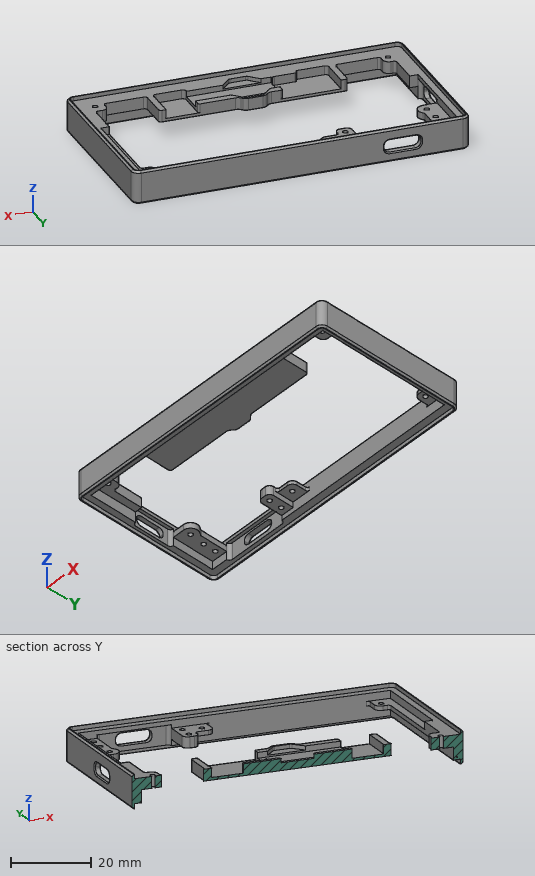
import cadquery as cq
import math

length, width, height = 90.0, 47.0, 9.0
corner_radius = 2.0
edge_chamfer = 0.5
rim = 0.7
top_face = 3.4
bottom_face = -3.2

cavity_x, cavity_y = 42.4, 20.6
deck_bottom = 0.2
seat_top = 1.35
seat_front = -5.6
window_x = 40.1
window_front = -18.45
inner_fillet = 0.7

front_tab_y = -15.0
back_tab_y = 15.75
left_tab_x = -37.3
right_tab_x = 36.6
tab_radius = 1.6

hole_diameter = 1.35
tab_holes = [(-39.15, -17.8), (39.15, -17.8), (38.6, 17.7)]
connector_rows = (18.5, 14.6)

plate_edge = -37.3
plate_bottom = -0.5
plate_hole_x = -39.15
ear_x, ear_y = -38.7, 9.7
ear_radius = 2.4
plate_front = ear_y - ear_radius

bracket_left = -17.1
leg_right = -13.0
leg_front = 12.5
leg_bottom = -1.6
leg_radius = 1.4
arm_right = -7.65
arm_front = 15.4
arm_radius = 1.7
bracket_hole_x = -15.0
arm_hole = (-10.1, 17.7)

side_port_length, side_port_height, side_port_radius = 9.0, 3.2, 1.4
side_port_y, side_port_z = 0.3, -0.5
back_port_length, back_port_height, back_port_radius = 9.9, 3.4, 1.5
back_port_x, back_port_z = -26.9, -0.2
port_chamfer = 0.315
port_reach = 4.5
relief_depth = 1.0
relief_top = 2.25

tray_x = 25.2
tray_front, tray_back = -18.8, -9.6
finger = 1.8
pocket_x = tray_x - finger
pocket_radius = 0.9
pocket_floor = 1.0
slide_left, slide_right = -7.8, 14.8
slide_front, slide_back = -17.6, -11.6
slide_floor = 1.9
step_x = -14.8
step_radius = 0.5
strip_radius = 0.45

octagon_y = -14.6
octagon_apothem = 5.8
octagon_wall = 0.6
octagon_floor = 2.3
bulge_radius = 1.8


def block(x0, x1, y0, y1, z0, z1):
    """Box between two opposite corners."""
    box = cq.Workplane("XY").box(x1 - x0, y1 - y0, z1 - z0, centered=False)
    return box.translate((x0, y0, z0))


def prism(points, z0, z1):
    """Upright prism over a closed outline."""
    return cq.Workplane("XY", origin=(0, 0, z0)).polyline(points).close().extrude(z1 - z0)


def disc(center, radius, z0, z1):
    return cq.Workplane("XY", origin=(0, 0, z0)).center(*center).circle(radius).extrude(z1 - z0)


def round_edges(body, points, radius):
    """Round the vertical edges of a body that stand at the given points."""
    reach = 0.045
    tall = 2 * height
    for x, y in points:
        low = (x - reach, y - reach, -tall)
        high = (x + reach, y + reach, tall)
        body = body.edges(cq.selectors.BoxSelector(low, high, boundingbox=True)).fillet(radius)
    return body


def octagon(apothem, z0, z1):
    """Regular octagon with its flats facing the axes."""
    diameter = 2 * apothem / math.cos(math.pi / 8)
    body = cq.Workplane("XY").polygon(8, diameter).extrude(z1 - z0)
    return body.rotate((0, 0, 0), (0, 0, 1), 180 / 8).translate((0, octagon_y, z0))


def rim_recess(z0, z1):
    plan = cq.Workplane("XY", origin=(0, 0, z0)).rect(length - 2 * rim, width - 2 * rim)
    return plan.extrude(z1 - z0).edges("|Z").fillet(corner_radius - rim)


def outer_frame():
    """Closed frame with rims, the cavity below the deck and the lowered seat above it."""
    frame = cq.Workplane("XY").box(length, width, height).edges("|Z").fillet(corner_radius)
    frame = frame.faces("<Z or >Z").chamfer(edge_chamfer)
    frame = frame.cut(rim_recess(top_face, height))
    frame = frame.cut(rim_recess(-height, bottom_face))
    frame = frame.cut(block(-cavity_x, cavity_x, -cavity_y, cavity_y, -height, deck_bottom))
    return frame.cut(block(-cavity_x, cavity_x, seat_front, cavity_y, seat_top, height))


def window():
    """Opening through the deck that leaves the tabs, the tray and its bulge standing."""
    tab_corners = [
        (right_tab_x, back_tab_y),
        (right_tab_x, front_tab_y),
        (left_tab_x, front_tab_y),
    ]
    tab_roots = [
        (right_tab_x, cavity_y),
        (window_x, back_tab_y),
        (window_x, front_tab_y),
        (right_tab_x, window_front),
        (left_tab_x, window_front),
        (-window_x, front_tab_y),
    ]
    tray_corners = [
        (tray_x, window_front),
        (tray_x, tray_back),
        (-tray_x, tray_back),
        (-tray_x, window_front),
    ]
    outline = [
        (-cavity_x, cavity_y),
        tab_roots[0],
        tab_corners[0],
        tab_roots[1],
        tab_roots[2],
        tab_corners[1],
        tab_roots[3],
        *tray_corners,
        tab_roots[4],
        tab_corners[2],
        tab_roots[5],
        (-window_x, seat_front),
        (-cavity_x, seat_front),
    ]
    bulge_apothem = octagon_apothem + octagon_wall
    bulge_back = octagon_y + bulge_apothem
    bulge_half = bulge_apothem * math.tan(math.pi / 8)
    foot_x = bulge_half + bulge_back - tray_back
    bulge_corners = [
        (-foot_x, tray_back),
        (-bulge_half, bulge_back),
        (bulge_half, bulge_back),
        (foot_x, tray_back),
    ]

    opening = prism(outline, deck_bottom, height)
    opening = opening.cut(octagon(bulge_apothem, -height, 2 * height))
    opening = round_edges(opening, tab_corners, tab_radius)
    opening = round_edges(opening, bulge_corners, bulge_radius)
    return round_edges(opening, tab_roots + tray_corners, inner_fillet)


def left_pocket():
    outline = [
        (-pocket_x, tray_back),
        (-pocket_x, tray_front),
        (step_x, tray_front),
        (step_x, slide_front),
        (slide_left, slide_front),
        (slide_left, tray_back),
    ]
    pocket = prism(outline, pocket_floor, height)
    pocket = round_edges(pocket, [outline[1], outline[4]], pocket_radius)
    return round_edges(pocket, [outline[2], outline[3]], step_radius)


def right_pocket():
    pocket = block(slide_right, pocket_x, tray_front, tray_back, pocket_floor, height)
    return round_edges(pocket, [(slide_right, tray_front), (pocket_x, tray_front)], pocket_radius)


def slide_pocket():
    return block(slide_left, slide_right, slide_front, slide_back, slide_floor, height)


def octagon_pocket():
    return octagon(octagon_apothem, octagon_floor, height).edges("|Z").fillet(inner_fillet)


def connector_plate():
    """Plate along the left wall, ending in a round ear."""
    plate = block(-cavity_x, ear_x, plate_front, cavity_y, plate_bottom, seat_top)
    plate = plate.union(block(ear_x, plate_edge, ear_y, cavity_y, plate_bottom, seat_top))
    plate = plate.union(disc((ear_x, ear_y), ear_radius, plate_bottom, seat_top))
    root_y = ear_y + math.sqrt(ear_radius**2 - (plate_edge - ear_x)**2)
    return round_edges(plate, [(plate_edge, root_y)], inner_fillet)


def connector_bracket():
    """Thin L-shaped arm with a deep leg under its left part."""
    leg_corners = [(bracket_left, leg_front), (leg_right, leg_front)]
    arm_corner = (arm_right, arm_front)
    arm_root = (leg_right, arm_front)
    outline = [
        (bracket_left, cavity_y),
        *leg_corners,
        arm_root,
        arm_corner,
        (arm_right, cavity_y),
    ]
    arm = round_edges(prism(outline, deck_bottom, seat_top), leg_corners, leg_radius)
    arm = round_edges(arm, [arm_corner], arm_radius)
    arm = round_edges(arm, [arm_root], inner_fillet)
    leg = block(bracket_left, leg_right, leg_front, cavity_y, leg_bottom, deck_bottom)
    return arm.union(round_edges(leg, leg_corners, leg_radius))


def wall_reliefs():
    """Shallow pockets in the inner faces of the left and back walls, around the ports."""
    back_y = cavity_y + relief_depth
    back = block(plate_edge, bracket_left, cavity_y - relief_depth, back_y, -height, relief_top)
    back = round_edges(back, [(plate_edge, back_y), (bracket_left, back_y)], relief_depth)

    left_x = -cavity_x - relief_depth
    left = block(left_x, -cavity_x + relief_depth, seat_front, plate_front, -height, relief_top)
    left = round_edges(left, [(left_x, seat_front), (left_x, plate_front)], relief_depth)
    return back.union(left)


def rounded_rectangle(size_x, size_y, radius):
    return cq.Sketch().rect(size_x, size_y).vertices().fillet(radius)


def port(outer_plane, port_length, port_height, port_radius):
    """Rounded slot through a wall, chamfered at the outer face."""
    grow = 2 * port_chamfer
    throat = rounded_rectangle(port_length, port_height, port_radius)
    rounded_mouth = rounded_rectangle(port_length + grow, port_height + grow, port_radius + port_chamfer)
    slot = cq.Workplane(outer_plane).placeSketch(throat).extrude(-port_reach)
    mouth = cq.Workplane(outer_plane).placeSketch(rounded_mouth).extrude(-port_chamfer, taper=45)
    return slot.union(mouth)


frame = outer_frame().cut(window())
for pocket in (left_pocket(), right_pocket(), slide_pocket(), octagon_pocket()):
    frame = frame.cut(pocket)
frame = round_edges(frame, [(slide_left, tray_back), (slide_right, tray_back)], strip_radius)

frame = frame.cut(wall_reliefs()).union(connector_plate()).union(connector_bracket())
frame = round_edges(frame, [(arm_right, cavity_y)], inner_fillet)

side_plane = cq.Plane((-length / 2, side_port_y, side_port_z), xDir=(0, -1, 0), normal=(-1, 0, 0))
back_plane = cq.Plane((back_port_x, width / 2, back_port_z), xDir=(-1, 0, 0), normal=(0, 1, 0))
frame = frame.cut(port(side_plane, side_port_length, side_port_height, side_port_radius))
frame = frame.cut(port(back_plane, back_port_length, back_port_height, back_port_radius))

connector_holes = [(x, y) for x in (plate_hole_x, bracket_hole_x) for y in connector_rows]
for center in tab_holes + connector_holes + [(ear_x, ear_y), arm_hole]:
    frame = frame.cut(disc(center, hole_diameter / 2, -height, height))

result = frame